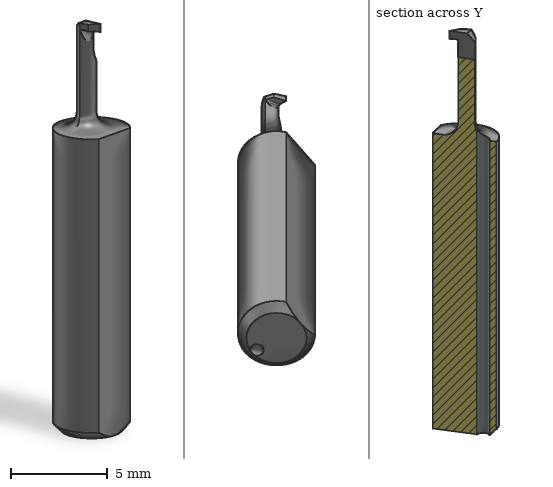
import cadquery as cq
import math

total_length = 22.0
shank_diameter = 4.0
shank_length = 16.27
flat_x = 1.54
shank_chamfer = 0.45

hole_diameter = 0.7
hole_x = -1.25

neck_back_x = -0.81
neck_front_x = 0.14
neck_corner_x = -0.27
neck_half_width = 0.63
neck_fillet = 0.82
root_overlap = 0.2

tip_reach_x = 0.61
tip_height = 0.44
tip_heel_x = 0.2
tip_heel_y = -0.5
end_chamfer = 0.44

relief_length = 1.32
relief_radius = 1.2
relief_angle = math.radians(45)

throat_heading = math.radians(30)
throat_rise = math.radians(7)
throat_wall_lean = math.radians(12)
throat_depth = 0.44
throat_height = 0.8
throat_radius = 0.08


def make_shank():
    shank = cq.Workplane("XY").circle(shank_diameter / 2).extrude(shank_length)
    shank = shank.faces("<Z").chamfer(shank_chamfer)
    flat_cut = (
        cq.Workplane("XY")
        .rect(shank_diameter, 2 * shank_diameter)
        .extrude(shank_length)
        .translate((flat_x + shank_diameter / 2, 0, 0))
    )
    return shank.cut(flat_cut)


def arc_radius(sagitta):
    """Radius of a neck arc that bulges by the given sagitta over the full neck width."""
    return (sagitta**2 + neck_half_width**2) / (2 * sagitta)


def make_flared_column(center_x, radius):
    """Round column that flares out through a fillet at the shank face."""
    fillet_top_z = shank_length + neck_fillet
    fillet_offset = neck_fillet * (1 - math.sqrt(0.5))
    profile = (
        cq.Workplane("XZ")
        .moveTo(0, shank_length - root_overlap)
        .lineTo(radius + neck_fillet, shank_length - root_overlap)
        .lineTo(radius + neck_fillet, shank_length)
        .threePointArc((radius + fillet_offset, shank_length + fillet_offset), (radius, fillet_top_z))
        .lineTo(radius, total_length)
        .lineTo(0, total_length)
        .close()
    )
    return profile.revolve(360, (0, 0, 0), (0, 1, 0)).translate((center_x, 0, 0))


def make_neck():
    back_radius = arc_radius(neck_corner_x - neck_back_x)
    front_radius = arc_radius(neck_front_x - neck_corner_x)
    back_column = make_flared_column(neck_back_x + back_radius, back_radius)
    front_column = make_flared_column(neck_front_x - front_radius, front_radius)
    return back_column.intersect(front_column)


def make_tip():
    return (
        cq.Workplane("XY")
        .workplane(offset=total_length - tip_height)
        .moveTo(neck_corner_x, 0)
        .lineTo(neck_corner_x, -neck_half_width)
        .lineTo(tip_heel_x, tip_heel_y)
        .lineTo(tip_reach_x, 0)
        .close()
        .extrude(tip_height)
    )


def make_rake_relief():
    run_y = relief_radius * (1 - math.cos(relief_angle))
    run_z = relief_radius * math.sin(relief_angle)
    mid_y = relief_radius * (1 - math.cos(relief_angle / 2))
    mid_z = relief_radius * math.sin(relief_angle / 2)
    arc_top_z = total_length - relief_length
    outer_y = shank_diameter / 4
    ramp_z = (outer_y - run_y) * math.tan(relief_angle)
    return (
        cq.Workplane("YZ")
        .moveTo(0, total_length)
        .lineTo(0, arc_top_z)
        .threePointArc((mid_y, arc_top_z - mid_z), (run_y, arc_top_z - run_z))
        .lineTo(outer_y, arc_top_z - run_z - ramp_z)
        .lineTo(outer_y, total_length)
        .close()
        .extrude(shank_diameter / 2, both=True)
    )


def make_end_chamfer():
    return (
        cq.Workplane("XZ")
        .moveTo(neck_back_x, total_length)
        .lineTo(neck_back_x + end_chamfer, total_length)
        .lineTo(neck_back_x, total_length - end_chamfer)
        .close()
        .extrude(shank_diameter / 2, both=True)
    )


def make_throat():
    """Clearance cut that starts at the tip's cutting corner and rises toward -Y."""
    outward = cq.Vector(math.cos(throat_heading), -math.sin(throat_heading), 0)
    sweep = cq.Vector(
        -math.sin(throat_heading) * math.cos(throat_rise),
        -math.cos(throat_heading) * math.cos(throat_rise),
        math.sin(throat_rise),
    )
    cutting_corner = cq.Vector(tip_reach_x, 0, total_length - tip_height)
    wall_foot_x = -throat_depth + throat_height * math.tan(throat_wall_lean)
    throat = (
        cq.Workplane(cq.Plane(cutting_corner, outward, sweep))
        .moveTo(throat_depth, 0)
        .lineTo(-throat_depth, 0)
        .lineTo(wall_foot_x, -throat_height)
        .lineTo(throat_depth, -throat_height)
        .close()
        .extrude(shank_diameter / 2, both=True)
    )
    inner_corner = cq.selectors.NearestToPointSelector((cutting_corner - outward * throat_depth).toTuple())
    return throat.edges(inner_corner).fillet(throat_radius)


def make_coolant_hole():
    return cq.Workplane("XY").center(hole_x, 0).circle(hole_diameter / 2).extrude(total_length)


blank = make_shank().union(make_neck()).union(make_tip())
ground_neck = blank.cut(make_throat()).cut(make_rake_relief()).cut(make_end_chamfer())
result = ground_neck.cut(make_coolant_hole())